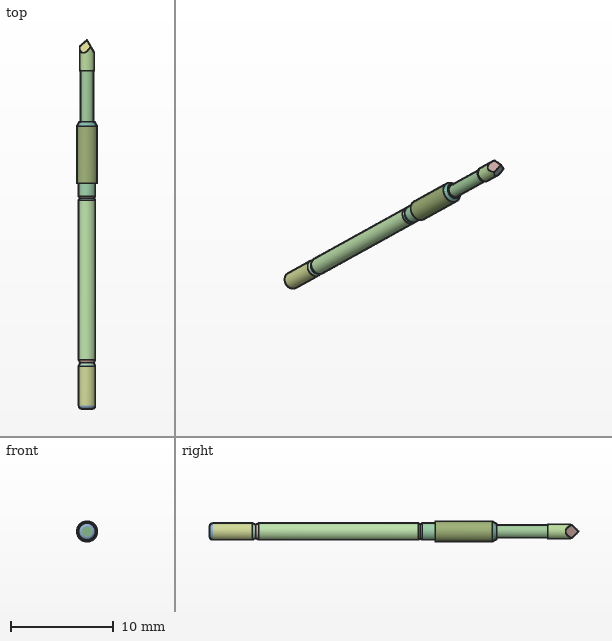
import cadquery as cq
import math

total_length = 36.0
tip_end_y = 18.0

head_diameter = 1.46
head_depth = 3.0
plunger_diameter = 1.27

collar_diameter = 2.0
collar_front_depth = 8.0
collar_back_depth = 14.0
collar_chamfer_length = 0.42
collar_chamfer_height = 0.23

barrel_diameter = 1.66
barrel_end_fillet = 0.36

front_crimp_depth = 15.45
front_crimp_half_width = 0.2
front_crimp_sink = 0.12
rear_crimp_depth = 31.5
rear_crimp_half_width = 0.32
rear_crimp_sink = 0.15

tip_face_angle = 30.0
tip_face_count = 3

head_radius = head_diameter / 2
plunger_radius = plunger_diameter / 2
collar_radius = collar_diameter / 2
barrel_radius = barrel_diameter / 2


def at(radius, depth):
    """Profile point at a radius from the axis and a depth behind the apex."""
    return (radius, tip_end_y - depth)


def add_crimp(profile, center_depth, half_width, sink):
    """Extend the barrel outline, heading rearwards, over one V-shaped crimp ring."""
    return (
        profile.lineTo(*at(barrel_radius, center_depth - half_width))
        .lineTo(*at(barrel_radius - sink, center_depth))
        .lineTo(*at(barrel_radius, center_depth + half_width))
    )


def make_turned_body():
    """Revolve the stepped outline about Y, with a blunt front face at the apex."""
    profile = (
        cq.Workplane("XY")
        .moveTo(*at(0, 0))
        .lineTo(*at(head_radius, 0))
        .lineTo(*at(head_radius, head_depth))
        .lineTo(*at(plunger_radius, head_depth))
        .lineTo(*at(plunger_radius, collar_front_depth))
        .lineTo(*at(collar_radius - collar_chamfer_height, collar_front_depth))
        .lineTo(*at(collar_radius, collar_front_depth + collar_chamfer_length))
        .lineTo(*at(collar_radius, collar_back_depth))
        .lineTo(*at(barrel_radius, collar_back_depth))
    )
    profile = add_crimp(profile, front_crimp_depth, front_crimp_half_width, front_crimp_sink)
    profile = add_crimp(profile, rear_crimp_depth, rear_crimp_half_width, rear_crimp_sink)
    fillet_center_radius = barrel_radius - barrel_end_fillet
    fillet_center_depth = total_length - barrel_end_fillet
    fillet_mid = barrel_end_fillet * math.sin(math.radians(45))
    profile = (
        profile.lineTo(*at(barrel_radius, fillet_center_depth))
        .threePointArc(
            at(fillet_center_radius + fillet_mid, fillet_center_depth + fillet_mid),
            at(fillet_center_radius, total_length),
        )
        .lineTo(*at(0, total_length))
        .close()
    )
    return profile.revolve(360, (0, 0, 0), (0, 1, 0))


def cut_pyramid_tip(body):
    """Trim the front of the head with equally spaced planes that meet at the apex."""
    cut_radius = collar_radius
    cut_depth = cut_radius / math.tan(math.radians(tip_face_angle))
    cutter = (
        cq.Workplane("XY")
        .polyline([at(0, 0), at(cut_radius, 0), at(cut_radius, cut_depth)])
        .close()
        .extrude(cut_radius, both=True)
    )
    for index in range(tip_face_count):
        turn = index * 360 / tip_face_count
        body = body.cut(cutter.rotate((0, 0, 0), (0, 1, 0), turn))
    return body


result = cut_pyramid_tip(make_turned_body())